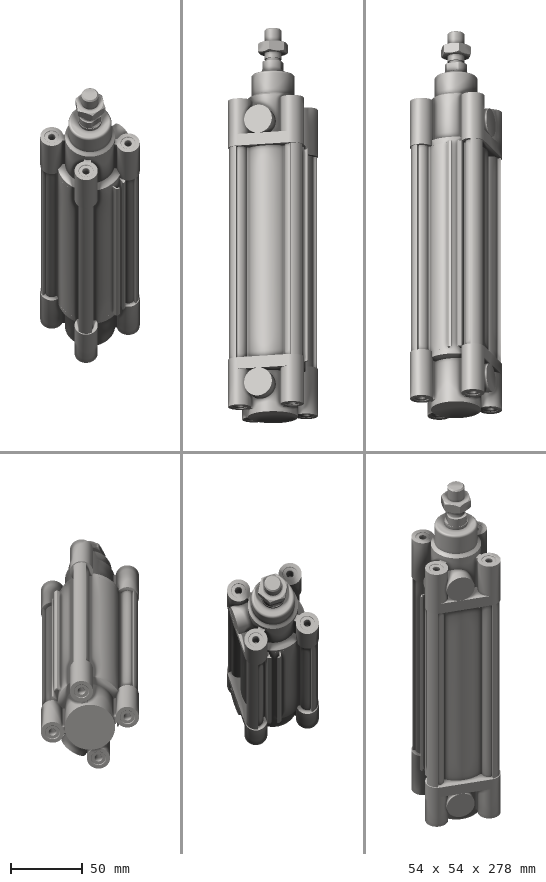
import cadquery as cq
import math

TOTAL_LENGTH = 278.0
REAR_SPIGOT = 4.0
CAP_LENGTH = 34.0
FRONT_POSTS_TOP = 223.5
REAR_BARREL_Z = REAR_SPIGOT + CAP_LENGTH
FRONT_BARREL_Z = FRONT_POSTS_TOP - CAP_LENGTH

CAP_WIDTH = 54.0
POST_DIAMETER = 16.0
POST_OFFSET = (CAP_WIDTH - POST_DIAMETER) / 2
FLANGE_DIAMETER = 45.3
FLANGE_HEIGHT = 4.2
FLANGE_CONE_HEIGHT = 1.7
BOSS_DIAMETER = 35.0
WEB_THICKNESS = 5.0
PORT_PAD_START = 12.2
PORT_DIAMETER = 20.0
PORT_X = 3.5
PORT_HEIGHT = 18.3
PORT_PAD_HEIGHT = PORT_HEIGHT - PORT_DIAMETER / 2

RECESS_DIAMETER = 10.0
RECESS_DEPTH = 0.5
RECESS_CHAMFER = 0.3
SCREW_HOLE_DIAMETER = 5.0
SCREW_HOLE_DEPTH = 14.0
SCREW_HOLE_CHAMFER = 0.3

FRONT_BOSS_TOP = 227.7
COLLAR_DIAMETER = 30.0
COLLAR_TOP = 245.2
COLLAR_CONE_HEIGHT = 2.0
COLLAR_FILLET = 1.7

LOBE_INSET = 0.7
LOBE_OUTER_RADIUS = POST_DIAMETER / 2 - LOBE_INSET
LOBE_INNER_RADIUS = 5.3
LOBE_SLOT_WIDTH = 0.8
LOBE_SLOT_FLOOR = 4.5
LOBE_BLOCK_INNER = 12.2

LIP_THICKNESS = 0.8
LIP_ROOT_X = 21.0
LIP_ROOT_Y = 2.0
LIP_TIP_X = 26.5
LIP_KNEE_Y = 2.5
LIP_ELBOW_Y = 4.0
LIP_TOP_Y = 5.3
FLAT_LIP_ROOT_X = 19.0
FLAT_LIP_BOTTOM = 10.0
HOOK_TIP_X = 25.0

ROD_DIAMETER = 16.0
FLATS_DIAMETER = 15.5
FLATS_WIDTH = 13.0
FLATS_BOTTOM = 247.7
FLATS_RUNOUT = 1.0
SHOULDER_Z = 254.5
NECK_DIAMETER = 10.0
NECK_BASE_DIAMETER = 11.7
THREAD_DIAMETER = 12.0
THREAD_BOTTOM = 256.5
TIP_CHAMFER = 0.97

NUT_ACROSS_FLATS = 19.0
NUT_BOTTOM = 260.8
NUT_HEIGHT = 7.2
NUT_FACE_DIAMETER = 18.5
NUT_CHAMFER_ANGLE = 30

CORNERS = [(sx, sy) for sx in (-1, 1) for sy in (-1, 1)]


def cylinder(diameter, height, z=0.0):
    return cq.Workplane("XY").workplane(offset=z).circle(diameter / 2).extrude(height)


def turned(profile):
    """Revolve (radius, z) points about the Z axis; the profile closes along the axis."""
    points = [(0, profile[0][1])] + profile + [(0, profile[-1][1])]
    return cq.Workplane("XZ").polyline(points).close().revolve(360, (0, 0, 0), (0, 1, 0))


def mounting_hole():
    """Cutter for a chamfered screw hole in a chamfered recess, opening upward at the post top."""
    recess_r = RECESS_DIAMETER / 2
    hole_r = SCREW_HOLE_DIAMETER / 2
    floor = CAP_LENGTH - RECESS_DEPTH
    return turned([
        (hole_r, CAP_LENGTH - SCREW_HOLE_DEPTH),
        (hole_r, floor - SCREW_HOLE_CHAMFER),
        (hole_r + SCREW_HOLE_CHAMFER, floor),
        (recess_r, floor),
        (recess_r, CAP_LENGTH - RECESS_CHAMFER),
        (recess_r + RECESS_CHAMFER, CAP_LENGTH),
    ])


def make_cap(boss_height):
    """End cap standing on its barrel face at Z = 0, with the port side toward +Y."""
    flange_r = FLANGE_DIAMETER / 2
    boss_r = BOSS_DIAMETER / 2
    cap = turned([
        (flange_r, 0),
        (flange_r, FLANGE_HEIGHT),
        (boss_r, FLANGE_HEIGHT + FLANGE_CONE_HEIGHT),
        (boss_r, boss_height),
    ])

    half_width = CAP_WIDTH / 2
    pad = (
        cq.Workplane("XY")
        .box(2 * POST_OFFSET, half_width - PORT_PAD_START, PORT_PAD_HEIGHT, (True, False, False))
        .translate((0, PORT_PAD_START, 0))
    )
    port_boss = (
        cq.Workplane("XZ").center(PORT_X, PORT_HEIGHT).circle(PORT_DIAMETER / 2).extrude(-half_width)
    )
    cap = cap.union(pad).union(port_boss)

    post_distance = POST_OFFSET * math.sqrt(2)
    for sx, sy in CORNERS:
        web = (
            cq.Workplane("XY")
            .box(post_distance, WEB_THICKNESS, CAP_LENGTH, (False, True, False))
            .rotate((0, 0, 0), (0, 0, 1), math.degrees(math.atan2(sy, sx)))
        )
        place = (sx * POST_OFFSET, sy * POST_OFFSET, 0)
        post = cylinder(POST_DIAMETER, CAP_LENGTH).translate(place)
        cap = cap.union(web).union(post).cut(mounting_hole().translate(place))
    return cap


def make_rear_cap():
    cap = make_cap(CAP_LENGTH + REAR_SPIGOT)
    return cap.mirror("XY").translate((0, 0, REAR_BARREL_Z))


def make_front_cap():
    cap = make_cap(FRONT_BOSS_TOP - FRONT_BARREL_Z).translate((0, 0, FRONT_BARREL_Z))
    boss_r = BOSS_DIAMETER / 2
    collar_r = COLLAR_DIAMETER / 2
    collar = turned([
        (boss_r, FRONT_BOSS_TOP),
        (collar_r, FRONT_BOSS_TOP + COLLAR_CONE_HEIGHT),
        (collar_r, COLLAR_TOP),
    ])
    collar = collar.edges(">Z").fillet(COLLAR_FILLET)
    rod_bore = cylinder(ROD_DIAMETER, COLLAR_TOP - FRONT_BARREL_Z, FRONT_BARREL_Z)
    return cap.union(collar).cut(rod_bore)


def lobe(length):
    """Screw-channel lobe for the +X +Y corner of the barrel."""
    c = POST_OFFSET
    block_size = c - LOBE_BLOCK_INNER
    block = (
        cq.Workplane("XY")
        .box(block_size, block_size, length, centered=False)
        .translate((LOBE_BLOCK_INNER, LOBE_BLOCK_INNER, 0))
    )
    core = cq.Workplane("XY").center(c, c).circle(LOBE_INNER_RADIUS).extrude(length)
    slot_x = (
        cq.Workplane("XY")
        .box(LOBE_OUTER_RADIUS, LOBE_SLOT_WIDTH, length, centered=False)
        .translate((c + LOBE_SLOT_FLOOR, c, 0))
    )
    slot_y = (
        cq.Workplane("XY")
        .box(LOBE_SLOT_WIDTH, LOBE_OUTER_RADIUS, length, centered=False)
        .translate((c, c + LOBE_SLOT_FLOOR, 0))
    )
    corner_quarter = (
        cq.Workplane("XY")
        .box(LOBE_OUTER_RADIUS, LOBE_OUTER_RADIUS, length, centered=False)
        .translate((c, c, 0))
        .intersect(cq.Workplane("XY").center(c, c).circle(LOBE_OUTER_RADIUS).extrude(length))
    )
    return core.union(corner_quarter).union(block).cut(slot_x).cut(slot_y)


def sensor_rails(length):
    """The two lips of the sensor slot on the +X side of the barrel."""
    lip_inner_x = LIP_TIP_X - LIP_THICKNESS
    bent_lip = (
        cq.Workplane("XY")
        .polyline([
            (LIP_ROOT_X, LIP_ROOT_Y),
            (lip_inner_x, LIP_KNEE_Y),
            (LIP_TIP_X, LIP_ELBOW_Y),
            (LIP_TIP_X, LIP_TOP_Y),
            (lip_inner_x, LIP_TOP_Y),
            (lip_inner_x, LIP_ELBOW_Y),
            (lip_inner_x - LIP_THICKNESS, LIP_KNEE_Y + LIP_THICKNESS),
            (LIP_ROOT_X, LIP_ROOT_Y + LIP_THICKNESS),
        ])
        .close()
        .extrude(length)
    )
    hook_root_x = HOOK_TIP_X - LIP_THICKNESS
    flat_lip = (
        cq.Workplane("XY")
        .polyline([
            (FLAT_LIP_ROOT_X, FLAT_LIP_BOTTOM),
            (hook_root_x, FLAT_LIP_BOTTOM),
            (hook_root_x, FLAT_LIP_BOTTOM - LIP_THICKNESS),
            (HOOK_TIP_X, FLAT_LIP_BOTTOM),
            (hook_root_x, LOBE_BLOCK_INNER),
            (FLAT_LIP_ROOT_X, LOBE_BLOCK_INNER),
        ])
        .close()
        .extrude(length)
    )
    return bent_lip.union(flat_lip)


def make_barrel():
    length = FRONT_BARREL_Z - REAR_BARREL_Z
    barrel = cylinder(FLANGE_DIAMETER, length)
    for quarter in range(4):
        barrel = barrel.union(lobe(length).rotate((0, 0, 0), (0, 0, 1), 90 * quarter))
    rails = sensor_rails(length)
    barrel = barrel.union(rails).union(rails.mirror("YZ"))
    return barrel.translate((0, 0, REAR_BARREL_Z))


def make_rod():
    rod_r = ROD_DIAMETER / 2
    flats_r = FLATS_DIAMETER / 2
    thread_r = THREAD_DIAMETER / 2
    rod = turned([
        (rod_r, FRONT_BARREL_Z),
        (rod_r, FLATS_BOTTOM),
        (flats_r, FLATS_BOTTOM),
        (flats_r, SHOULDER_Z),
        (NECK_BASE_DIAMETER / 2, SHOULDER_Z),
        (NECK_DIAMETER / 2, THREAD_BOTTOM),
        (thread_r, THREAD_BOTTOM),
        (thread_r, TOTAL_LENGTH - TIP_CHAMFER),
        (thread_r - TIP_CHAMFER, TOTAL_LENGTH),
    ])
    flat_x = FLATS_WIDTH / 2
    flat_cut = (
        cq.Workplane("XZ")
        .polyline([
            (flat_x, FLATS_BOTTOM + FLATS_RUNOUT),
            (rod_r, FLATS_BOTTOM),
            (rod_r, SHOULDER_Z),
            (flat_x, SHOULDER_Z),
        ])
        .close()
        .extrude(rod_r, both=True)
    )
    return rod.cut(flat_cut).cut(flat_cut.mirror("YZ"))


def make_nut():
    corner_r = NUT_ACROSS_FLATS / 2 / math.cos(math.radians(30))
    face_r = NUT_FACE_DIAMETER / 2
    chamfer = (corner_r - face_r) * math.tan(math.radians(NUT_CHAMFER_ANGLE))
    hexagon = (
        cq.Workplane("XY")
        .polygon(6, 2 * corner_r)
        .extrude(NUT_HEIGHT)
        .rotate((0, 0, 0), (0, 0, 1), 30)
    )
    rounding = turned([
        (face_r, 0),
        (corner_r, chamfer),
        (corner_r, NUT_HEIGHT - chamfer),
        (face_r, NUT_HEIGHT),
    ])
    nut = hexagon.intersect(rounding).cut(cylinder(THREAD_DIAMETER, NUT_HEIGHT))
    return nut.translate((0, 0, NUT_BOTTOM))


rear_cap = make_rear_cap()
barrel = make_barrel()
front_cap = make_front_cap()
rod = make_rod()
nut = make_nut()

result = cq.Compound.makeCompound(
    [rear_cap.val(), barrel.val(), front_cap.val(), rod.val(), nut.val()]
)